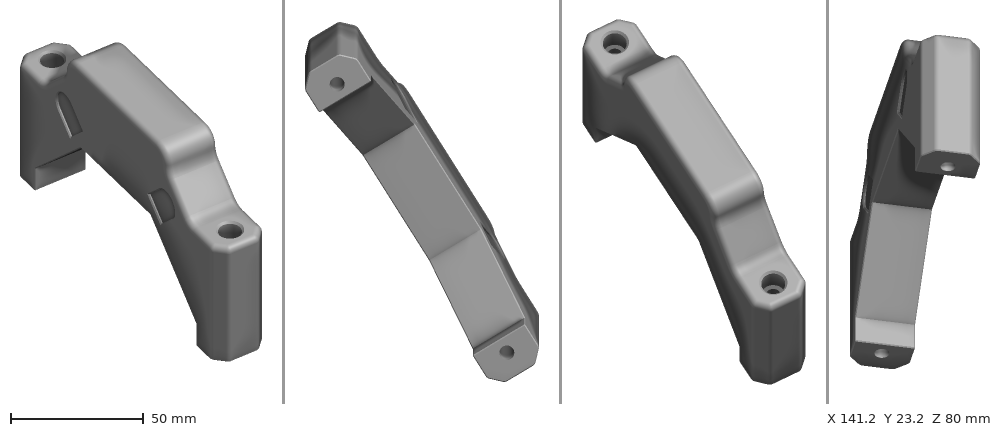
import cadquery as cq
import math

length = 141.2
depth = 23.2
height = 80.0

shoulder_height = 55.0
crown_half_width = 27.5
neck_radius = 7.5
post_blend_radius = 7.0
flank_offset = 105.0
foot_width = 15.4
opening_height = 42.2
opening_half_width = 23.9

corner_face_width = 7.0
edge_round = 2.5
lower_chamfer = 0.4

hole_spacing = 122.1
hole_diameter = 5.6
counterbore_diameter = 9.0
counterbore_depth = counterbore_diameter
counterbore_chamfer = 0.8

plug_width = 12.0
plug_straight = 11.0
plug_thickness = 5.6
plug_recess = 1.0
plug_center_x = 34.6
plug_center_z = 54.6
pocket_chamfer = 0.5

half_length = length / 2
half_depth = depth / 2
foot_x = half_length - foot_width
sides = (-1, 1)
diagonal = math.sqrt(0.5)
tolerance = 0.01


def arc_point(center, radius, angle):
    """Point at an angle in degrees on a circle in the XZ plane."""
    turn = math.radians(angle)
    return (center[0] + radius * math.cos(turn), center[1] + radius * math.sin(turn))


def half_arch():
    """Right half of the arch, cut at the middle plane."""
    foot_height = opening_height - (foot_x - opening_half_width)

    blend_z = shoulder_height + post_blend_radius
    blend_center = (flank_offset + post_blend_radius / diagonal - blend_z, blend_z)

    crown_center = (crown_half_width, height - neck_radius)
    center_gap = flank_offset + neck_radius / diagonal - sum(crown_center)
    joint_angle = math.degrees(math.asin(center_gap * diagonal / (2 * neck_radius))) - 45
    neck_center = arc_point(crown_center, 2 * neck_radius, joint_angle)

    flank_angle = 225
    neck_start_angle = 180 + joint_angle
    return (
        cq.Workplane("XZ", origin=(0, half_depth, 0))
        .moveTo(0, opening_height)
        .lineTo(opening_half_width, opening_height)
        .lineTo(foot_x, foot_height)
        .lineTo(foot_x, 0)
        .lineTo(half_length, 0)
        .lineTo(half_length, shoulder_height)
        .lineTo(blend_center[0], shoulder_height)
        .threePointArc(
            arc_point(blend_center, post_blend_radius, (270 + flank_angle) / 2),
            arc_point(blend_center, post_blend_radius, flank_angle),
        )
        .lineTo(*arc_point(neck_center, neck_radius, flank_angle))
        .threePointArc(
            arc_point(neck_center, neck_radius, (flank_angle + neck_start_angle) / 2),
            arc_point(neck_center, neck_radius, neck_start_angle),
        )
        .threePointArc(
            arc_point(crown_center, neck_radius, (joint_angle + 90) / 2),
            (crown_half_width, height),
        )
        .lineTo(0, height)
        .close()
        .extrude(depth)
    )


def region(half_width, low_z, high_z):
    """Selector for edges centred inside a box that spans the whole depth."""
    return cq.selectors.BoxSelector((-half_width, -depth, low_z), (half_width, depth, high_z))


def soften_edges(block):
    """Chamfer the post corners, round the upright and upper edges, chamfer the lower edges."""
    block = block.edges("|Z and (<X or >X)").chamfer(corner_face_width * diagonal)

    upright = cq.selectors.ParallelDirSelector(cq.Vector(0, 0, 1))
    inside_feet = region(foot_x + tolerance, 0, height)
    block = block.edges(upright - inside_feet).fillet(edge_round)

    block = block.faces(">Z").edges("|X").fillet(edge_round)

    opening_corners = cq.selectors.ParallelDirSelector(cq.Vector(0, 1, 0))
    opening_rim = region(foot_x + tolerance, 0, opening_height + tolerance) - opening_corners
    soles = region(length, -tolerance, tolerance)
    return block.edges(opening_rim + soles).chamfer(lower_chamfer)


def screw_hole(x):
    """Cutter for a through hole with a chamfered counterbore, turned about its axis."""
    hole_radius = hole_diameter / 2
    bore_radius = counterbore_diameter / 2
    profile = [
        (0, 0),
        (hole_radius, 0),
        (hole_radius, shoulder_height - counterbore_depth),
        (bore_radius, shoulder_height - counterbore_depth),
        (bore_radius, shoulder_height - counterbore_chamfer),
        (bore_radius + counterbore_chamfer, shoulder_height),
        (0, shoulder_height),
    ]
    return (
        cq.Workplane("XZ", origin=(x, 0, 0))
        .polyline(profile)
        .close()
        .revolve(360, (0, 0), (0, 1))
    )


def plug_outline(side, setback, margin=0):
    """D outline, grown by a margin, at a setback behind the front face.

    Local X runs down and inward at 45 degrees, from the round end to the flat end.
    """
    plane = cq.Plane(
        origin=(side * plug_center_x, setback - half_depth, plug_center_z),
        xDir=(-side, 0, -1),
        normal=(0, 1, 0),
    )
    radius = plug_width / 2 + margin
    flat_end = plug_straight + margin
    return (
        cq.Workplane(plane)
        .moveTo(0, radius)
        .threePointArc((-radius, 0), (0, -radius))
        .lineTo(flat_end, -radius)
        .lineTo(flat_end, radius)
        .close()
    )


def plug(side):
    """D-shaped plug filling its pocket up to the recess."""
    return plug_outline(side, plug_recess).extrude(plug_thickness)


def plug_pocket(side):
    """Cutter for a blind plug pocket with a chamfered mouth."""
    pocket = plug_outline(side, 0).extrude(plug_recess + plug_thickness)
    mouth = plug_outline(side, 0, pocket_chamfer).extrude(pocket_chamfer, taper=45)
    return pocket.union(mouth)


right_half = half_arch()
housing = soften_edges(right_half.union(right_half.mirror("YZ")).clean())
for side in sides:
    housing = housing.cut(screw_hole(side * hole_spacing / 2))
    housing = housing.cut(plug_pocket(side))

plugs = [plug(side).val() for side in sides]

result = cq.Compound.makeCompound([housing.val(), *plugs])